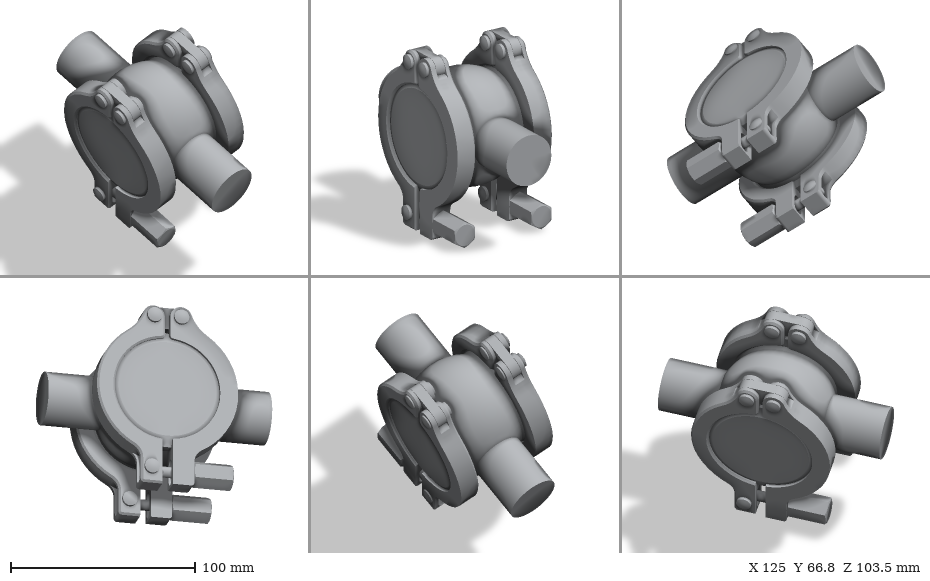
import cadquery as cq
import math

overall_length = 125.0
tube_radius = 14.6
sphere_radius = 33.5
neck_radius = 28.5

flange_radius = 33.1
cap_radius = 27.2
neck_cone_start = 20.6
flange_start = 22.1
flange_end = 27.9
cap_face = 30.0

clamp_offset = 25.0
clamp_width = 12.2
bore_radius = 29.4
ring_radius = 39.4
rim_chamfer = 1.1

hinge_x = 7.5
hinge_z = 41.9
knuckle_radius = 6.1
hinge_blend_radius = 23.1
hinge_corner_radius = 2.0
hinge_gap = hinge_x - knuckle_radius
link_width = 5.8
link_slot_width = 6.1
link_slot_floor_radius = 41.4

arm_inner_x = 2.9
arm_outer_x = 14.9
arm_bottom_z = -55.5
arm_blend_radius = 8.0
arm_corner_radius = 1.9
bolt_slot_width = 6.5
bolt_slot_roof_radius = 39.6
bolt_slot_bottom_z = -53.9

bolt_z = -46.5
bolt_radius = 3.0
eye_radius = 4.9
nut_radius = 7.6
nut_length = 22.2
nut_chamfer = 1.5
bolt_pin_x = -9.0
pin_head_radius = 4.1
pin_shank_radius = 3.0
pin_shank_half_length = 5.4
pin_rim_half_length = 7.4
pin_half_length = 8.4

bolt_offset = 0.4
pin_offset = -0.44


def make_body():
    """Sphere cut flat at the necks, with the cross tube and both capped flanges."""
    sphere_half_width = math.sqrt(sphere_radius**2 - neck_radius**2)
    profile = (
        cq.Workplane("XY")
        .moveTo(0, -cap_face)
        .lineTo(cap_radius, -cap_face)
        .lineTo(flange_radius, -flange_end)
        .lineTo(flange_radius, -flange_start)
        .lineTo(neck_radius, -neck_cone_start)
        .lineTo(neck_radius, -sphere_half_width)
        .threePointArc((sphere_radius, 0), (neck_radius, sphere_half_width))
        .lineTo(neck_radius, neck_cone_start)
        .lineTo(flange_radius, flange_start)
        .lineTo(flange_radius, flange_end)
        .lineTo(cap_radius, cap_face)
        .lineTo(0, cap_face)
        .close()
    )
    body = profile.revolve(360, (0, 0, 0), (0, 1, 0))
    tube = cq.Workplane("YZ").circle(tube_radius).extrude(overall_length / 2, both=True)
    return body.union(tube)


def hinge_blend_centre():
    """Centre of the hollow arc that touches both the ring and the knuckle from outside."""
    to_ring = ring_radius + hinge_blend_radius
    to_knuckle = knuckle_radius + hinge_blend_radius
    to_hinge = math.hypot(hinge_x, hinge_z)
    hinge_angle = math.atan2(hinge_z, hinge_x)
    cosine = (to_ring**2 + to_hinge**2 - to_knuckle**2) / (2 * to_ring * to_hinge)
    angle = hinge_angle - math.acos(cosine)
    return to_ring * math.cos(angle), to_ring * math.sin(angle)


def toward(start, target, distance):
    """Point at the given distance from start, in the direction of target."""
    share = distance / math.dist(start, target)
    return start[0] + (target[0] - start[0]) * share, start[1] + (target[1] - start[1]) * share


def midpoint(start, end):
    """Point halfway between two points."""
    return (start[0] + end[0]) / 2, (start[1] + end[1]) / 2


def clamp_half_outline():
    """Outline of the +X clamp half in the XZ plane, without its corner rounds."""
    centre = (0, 0)
    hinge = (hinge_x, hinge_z)
    hinge_blend = hinge_blend_centre()
    knuckle_end = toward(hinge, hinge_blend, knuckle_radius)
    ring_top = toward(centre, hinge_blend, ring_radius)
    hinge_blend_middle = toward(hinge_blend, midpoint(knuckle_end, ring_top), hinge_blend_radius)

    arm_blend_x = arm_outer_x + arm_blend_radius
    arm_blend = (arm_blend_x, -math.sqrt((ring_radius + arm_blend_radius) ** 2 - arm_blend_x**2))
    ring_bottom = toward(centre, arm_blend, ring_radius)
    arm_top = (arm_outer_x, arm_blend[1])
    arm_blend_middle = toward(arm_blend, midpoint(ring_bottom, arm_top), arm_blend_radius)

    return (
        cq.Workplane("XZ")
        .moveTo(arm_inner_x, arm_bottom_z)
        .lineTo(arm_inner_x, -math.sqrt(bore_radius**2 - arm_inner_x**2))
        .threePointArc((bore_radius, 0), (hinge_gap, math.sqrt(bore_radius**2 - hinge_gap**2)))
        .lineTo(hinge_gap, hinge_z)
        .threePointArc((hinge_x, hinge_z + knuckle_radius), knuckle_end)
        .threePointArc(hinge_blend_middle, ring_top)
        .threePointArc((ring_radius, 0), ring_bottom)
        .threePointArc(arm_blend_middle, arm_top)
        .lineTo(arm_outer_x, arm_bottom_z)
        .close()
    )


def nearest_to(point):
    """Selector for the edge whose middle is nearest to the point."""
    return cq.selectors.NearestToPointSelector(point)


def make_clamp_half():
    """The +X clamp half, with its rim chamfered on the +Y face."""
    half = clamp_half_outline().extrude(clamp_width / 2, both=True)

    bore_top = (hinge_gap, 0, math.sqrt(bore_radius**2 - hinge_gap**2))
    half = half.edges(nearest_to(bore_top)).fillet(hinge_corner_radius)
    arm_corner = (arm_outer_x, 0, arm_bottom_z)
    half = half.edges(nearest_to(arm_corner)).fillet(arm_corner_radius)

    rim = half.faces(">Y").edges()
    gap_edge = rim.edges(nearest_to((arm_inner_x, clamp_width / 2, bolt_z))).val()
    chamfered_edges = [edge for edge in rim.vals() if not edge.isSame(gap_edge)]
    half = half.newObject(chamfered_edges).chamfer(rim_chamfer)

    return half.cut(link_slot())


def link_slot():
    """Slot across the knuckle, with a floor that follows the ring."""
    slot_height = hinge_z + knuckle_radius
    slot = cq.Workplane("XY").box(ring_radius, link_slot_width, slot_height, centered=(False, True, False))
    floor = cq.Workplane("XZ").circle(link_slot_floor_radius).extrude(link_slot_width, both=True)
    return slot.cut(floor)


def open_bolt_slot():
    """Slot along X through the -X arm, round at the bottom and roofed by the ring at the top."""
    round_radius = bolt_slot_width / 2
    round_z = bolt_slot_bottom_z + round_radius
    slot = (
        cq.Workplane("YZ")
        .moveTo(-round_radius, 0)
        .lineTo(-round_radius, round_z)
        .threePointArc((0, bolt_slot_bottom_z), (round_radius, round_z))
        .lineTo(round_radius, 0)
        .close()
        .extrude(-ring_radius)
        .translate((0, bolt_offset, 0))
    )
    roof = cq.Workplane("XZ").circle(bolt_slot_roof_radius).extrude(bolt_slot_width, both=True)
    return slot.cut(roof)


def closed_bolt_slot():
    """Slot along X through the +X arm, round at both ends and covered by the nut."""
    slot_height = 2 * (bolt_z - bolt_slot_bottom_z)
    profile = cq.Workplane("YZ", origin=(0, bolt_offset, bolt_z)).slot2D(slot_height, bolt_slot_width, 90)
    return profile.extrude(arm_outer_x)


def make_link():
    """Flat link with round ends that joins the two hinge pins."""
    link = cq.Workplane("XZ").center(0, hinge_z).slot2D(2 * (hinge_x + knuckle_radius), 2 * knuckle_radius)
    return link.extrude(link_width / 2, both=True)


def make_pin(x, z):
    """Pin along Y with a domed head at each end."""
    dome_height = pin_half_length - pin_rim_half_length
    dome_radius = (pin_head_radius**2 + dome_height**2) / (2 * dome_height)
    profile = (
        cq.Workplane("XY")
        .moveTo(0, -pin_half_length)
        .lineTo(0, pin_half_length)
        .radiusArc((pin_head_radius, pin_rim_half_length), dome_radius)
        .lineTo(pin_head_radius, pin_shank_half_length)
        .lineTo(pin_shank_radius, pin_shank_half_length)
        .lineTo(pin_shank_radius, -pin_shank_half_length)
        .lineTo(pin_head_radius, -pin_shank_half_length)
        .lineTo(pin_head_radius, -pin_rim_half_length)
        .radiusArc((0, -pin_half_length), dome_radius)
        .close()
    )
    return profile.revolve(360, (0, 0, 0), (0, 1, 0)).translate((x, pin_offset, z))


def make_eye_bolt():
    """Bolt along X with a flat-sided ball eye on its pin and a long hexagon nut."""
    shaft = (
        cq.Workplane("YZ", origin=(bolt_pin_x, 0, bolt_z))
        .circle(bolt_radius)
        .extrude(arm_outer_x + nut_length - bolt_pin_x)
    )
    eye_sides = cq.Workplane("XY").box(2 * eye_radius, bolt_slot_width, 2 * eye_radius)
    eye = cq.Workplane("XY").sphere(eye_radius).intersect(eye_sides).translate((bolt_pin_x, 0, bolt_z))

    nut_plane = cq.Workplane("YZ", origin=(arm_outer_x, 0, bolt_z))
    nut = nut_plane.transformed(rotate=(0, 0, 90)).polygon(6, 2 * nut_radius).extrude(nut_length)
    nut_turning = nut_plane.circle(nut_radius).extrude(nut_length).edges().chamfer(nut_chamfer / 2, nut_chamfer)
    bolt = shaft.union(eye).union(nut.intersect(nut_turning))
    return bolt.translate((0, bolt_offset, 0))


def make_clamp():
    """Both halves with link, pins and eye bolt, centred on its own width."""
    right_half = make_clamp_half()
    left_half = right_half.rotate((0, 0, 0), (0, 0, 1), 180)
    clamp = right_half.union(left_half).cut(open_bolt_slot()).cut(closed_bolt_slot())
    clamp = clamp.union(make_link()).union(make_eye_bolt())
    for x, z in ((-hinge_x, hinge_z), (hinge_x, hinge_z), (bolt_pin_x, bolt_z)):
        clamp = clamp.union(make_pin(x, z))
    return clamp


result = make_body()
clamp = make_clamp()
for y in (-clamp_offset, clamp_offset):
    result = result.union(clamp.translate((0, y, 0)))